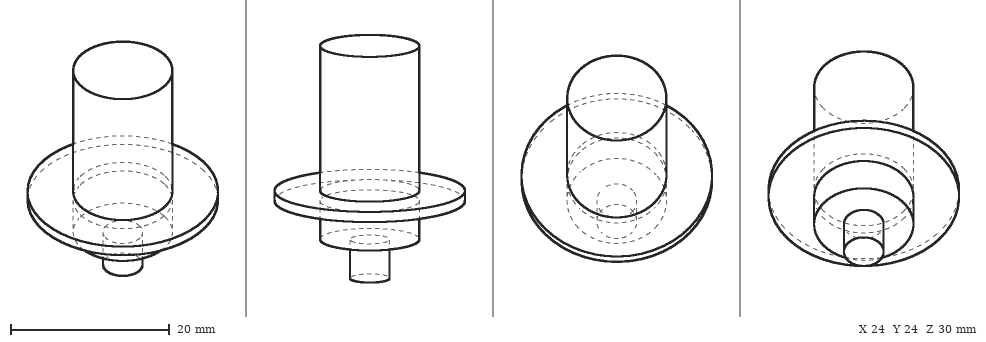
import cadquery as cq

total_height = 30.0
body_diameter = 12.5
flange_diameter = 24.0
flange_thickness = 1.32
pin_diameter = 5.0
pin_length = 5.0
flange_underside_z = 10.0


def cylinder(diameter, bottom_z, top_z):
    """Solid cylinder on the Z axis between two heights."""
    return (
        cq.Workplane("XY")
        .workplane(offset=bottom_z)
        .circle(diameter / 2)
        .extrude(top_z - bottom_z)
    )


pin = cylinder(pin_diameter, 0, pin_length)
body = cylinder(body_diameter, pin_length, total_height)

flange = cylinder(flange_diameter, flange_underside_z, flange_underside_z + flange_thickness)

result = body.union(pin).union(flange)